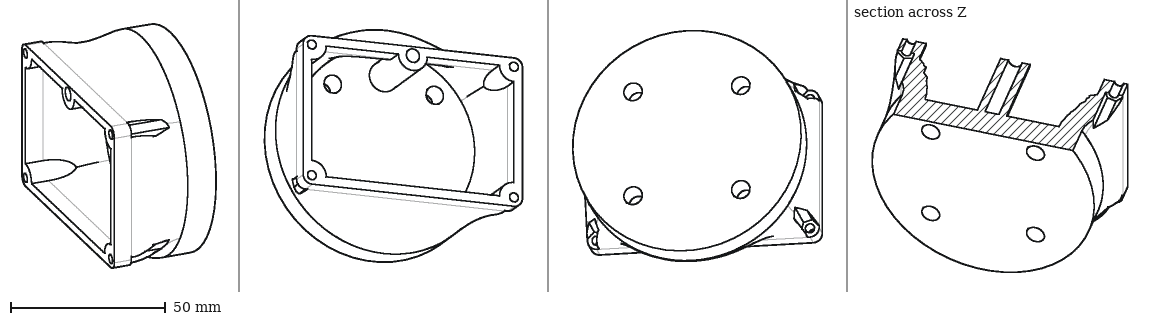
import cadquery as cq
import math

FLANGE_THICKNESS = 6.0
TRANSITION_LENGTH = 20.0
DISC_THICKNESS = 10.0
FLOOR_Y = FLANGE_THICKNESS + TRANSITION_LENGTH
BACK_Y = FLOOR_Y + DISC_THICKNESS

FLANGE_WIDTH = 76.0
FLANGE_HEIGHT = 50.0
FLANGE_WALL = 3.0
FLANGE_CORNER_RADIUS = 3.0
OPENING_WIDTH = FLANGE_WIDTH - 2 * FLANGE_WALL
OPENING_HEIGHT = FLANGE_HEIGHT - 2 * FLANGE_WALL

DISC_DIAMETER = 75.0
FLOOR_DIAMETER = 63.0
MOUNT_HOLE_DIAMETER = 6.0
MOUNT_CIRCLE_DIAMETER = 50.0
MOUNT_OFFSET = MOUNT_CIRCLE_DIAMETER / 2 * math.sqrt(0.5)

BOSS_DIAMETER = 10.0
SCREW_HOLE_DIAMETER = 3.0
NUT_RADIUS = 3.0
NUT_CORNER_ANGLES = range(105, 346, 60)
POST_HOLE_DIAMETER = 4.5
CORNER_SIGNS = [(-1, -1), (-1, 1), (1, -1), (1, 1)]
SCREW_PLACES = [(sx * OPENING_WIDTH / 2, sz * OPENING_HEIGHT / 2) for sx, sz in CORNER_SIGNS]
POST_PLACE = (0, OPENING_HEIGHT / 2)

SECTION_COUNT = 8
POINTS_PER_SIDE = 8


def cylinder(diameter, x, z, y_start, y_end):
    """Cylinder along Y."""
    base = cq.Vector(x, y_start, z)
    return cq.Workplane(cq.Solid.makeCylinder(diameter / 2, y_end - y_start, base, cq.Vector(0, 1, 0)))


def block(width, height, y_start, y_end):
    """Box centred on the Y axis."""
    return cq.Workplane("XY").box(width, y_end - y_start, height).translate((0, (y_start + y_end) / 2, 0))


def section_wire(width, height, diameter, along):
    """Cross-section of the transition: a rectangle at along = 0, a circle at along = 1."""
    roundness = along**2 * (3 - 2 * along)
    y = FLANGE_THICKNESS + along * TRANSITION_LENGTH
    corner_angle = math.atan2(height, width)
    corners = [
        (width / 2, -height / 2, -corner_angle),
        (width / 2, height / 2, corner_angle),
        (-width / 2, height / 2, math.pi - corner_angle),
        (-width / 2, -height / 2, math.pi + corner_angle),
        (width / 2, -height / 2, 2 * math.pi - corner_angle),
    ]
    sides = []
    for (x0, z0, angle0), (x1, z1, angle1) in zip(corners, corners[1:]):
        points = []
        for i in range(POINTS_PER_SIDE + 1):
            share = i / POINTS_PER_SIDE
            angle = angle0 + share * (angle1 - angle0)
            flat_x = x0 + share * (x1 - x0)
            flat_z = z0 + share * (z1 - z0)
            round_x = diameter / 2 * math.cos(angle)
            round_z = diameter / 2 * math.sin(angle)
            x = flat_x + roundness * (round_x - flat_x)
            z = flat_z + roundness * (round_z - flat_z)
            points.append(cq.Vector(x, y, z))
        sides.append(cq.Edge.makeSpline(points))
    return cq.Wire.assembleEdges(sides)


def transition(width, height, diameter):
    """S-shaped loft from a rectangle at the flange to a circle at the disc."""
    wires = [section_wire(width, height, diameter, i / SECTION_COUNT) for i in range(SECTION_COUNT + 1)]
    return cq.Workplane(cq.Solid.makeLoft(wires))


def corner_pocket(side_x, side_z):
    """Hexagonal nut pocket behind one flange corner, open towards the outside of the corner."""
    points = []
    for degrees in NUT_CORNER_ANGLES:
        angle = math.radians(degrees)
        x = OPENING_WIDTH / 2 + NUT_RADIUS * math.cos(angle)
        z = OPENING_HEIGHT / 2 + NUT_RADIUS * math.sin(angle)
        points.append((x, z))
    beyond_x = FLANGE_WIDTH / 2 + FLANGE_WALL
    beyond_z = FLANGE_HEIGHT / 2 + FLANGE_WALL
    points.append((beyond_x, points[-1][1]))
    points.append((beyond_x, beyond_z))
    points.append((points[0][0], beyond_z))
    signed_points = [(side_x * x, side_z * z) for x, z in points]
    pocket = cq.Workplane("XZ").polyline(signed_points).close().extrude(-TRANSITION_LENGTH)
    return pocket.translate((0, FLANGE_THICKNESS, 0))


def outer_body():
    """Solid body: front flange, transition and back disc."""
    flange = block(FLANGE_WIDTH, FLANGE_HEIGHT, 0, FLANGE_THICKNESS)
    flange = flange.edges("|Y").fillet(FLANGE_CORNER_RADIUS)
    disc = cylinder(DISC_DIAMETER, 0, 0, FLOOR_Y, BACK_Y)
    return flange.union(transition(FLANGE_WIDTH, FLANGE_HEIGHT, DISC_DIAMETER)).union(disc)


def hollow():
    """Cavity open at the front, with the bosses left standing in it."""
    space = block(OPENING_WIDTH, OPENING_HEIGHT, 0, FLANGE_THICKNESS)
    space = space.union(transition(OPENING_WIDTH, OPENING_HEIGHT, FLOOR_DIAMETER))
    for x, z in SCREW_PLACES + [POST_PLACE]:
        space = space.cut(cylinder(BOSS_DIAMETER, x, z, 0, FLOOR_Y))
    return space


result = outer_body().cut(hollow())

for x, z in SCREW_PLACES:
    result = result.cut(cylinder(SCREW_HOLE_DIAMETER, x, z, 0, FLANGE_THICKNESS))
for sign_x, sign_z in CORNER_SIGNS:
    result = result.cut(corner_pocket(sign_x, sign_z))

for sign_x, sign_z in CORNER_SIGNS:
    mount_hole = cylinder(MOUNT_HOLE_DIAMETER, sign_x * MOUNT_OFFSET, sign_z * MOUNT_OFFSET, FLOOR_Y, BACK_Y)
    result = result.cut(mount_hole)

result = result.cut(cylinder(POST_HOLE_DIAMETER, *POST_PLACE, 0, FLOOR_Y))